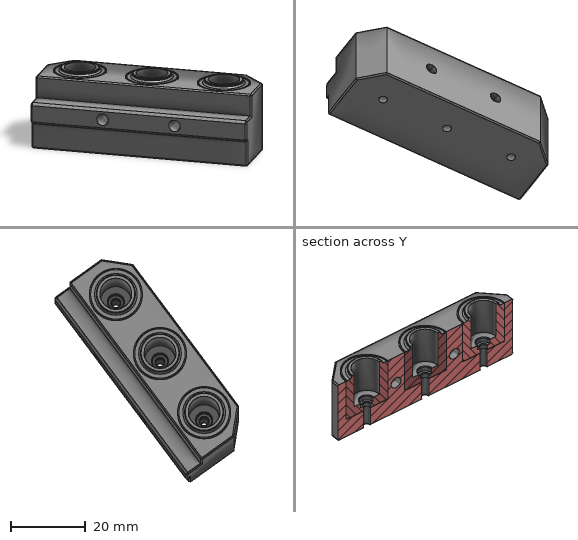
import cadquery as cq

BLOCK_LENGTH = 60.0
BLOCK_HEIGHT = 19.0
BLOCK_DEPTH = 21.7
BACK_Y = 8.5
NOSE_Y = BACK_Y - BLOCK_DEPTH
NOSE_BOTTOM = 7.0
NOSE_TOP = 13.0
LEDGE_DEPTH = 5.0
OVERHANG = 1.0
UPPER_WALL_Y = NOSE_Y + LEDGE_DEPTH
LOWER_WALL_Y = NOSE_Y + OVERHANG
NOSE_CHAMFER = 0.7
EDGE_CHAMFER = 0.39
CORNER_BEVEL = 6.0

CROSS_HOLE_DIAMETER = 3.2
CROSS_HOLE_Z = (NOSE_BOTTOM + NOSE_TOP) / 2

SLEEVE_COUNT = 3
SLEEVE_PITCH = BLOCK_LENGTH / SLEEVE_COUNT
CROSS_HOLE_X = SLEEVE_PITCH / 2
SLEEVE_TOP = 20.0
SLEEVE_DIAMETER = 14.2
SLEEVE_SEAT_Z = 6.0
RIM_CHAMFER = 0.35
COLLAR_DIAMETER = 10.45
COLLAR_FLARE = 0.5
COLLAR_CHAMFER = 0.2
BORE_DIAMETER = 8.45
BORE_FLOOR_Z = 9.0
COUNTERBORE_DIAMETER = 4.1
COUNTERBORE_FLOOR_Z = 7.5
DRAIN_DIAMETER = 2.3
STEP_CHAMFER = 0.25

sleeve_positions = [
    ((i - (SLEEVE_COUNT - 1) / 2) * SLEEVE_PITCH, 0)
    for i in range(SLEEVE_COUNT)
]


def make_blank():
    """Side profile extruded along X, with the nose tip already chamfered."""
    profile = [
        (BACK_Y, 0),
        (BACK_Y, BLOCK_HEIGHT),
        (UPPER_WALL_Y, BLOCK_HEIGHT),
        (UPPER_WALL_Y, NOSE_TOP),
        (NOSE_Y + NOSE_CHAMFER, NOSE_TOP),
        (NOSE_Y, NOSE_TOP - NOSE_CHAMFER),
        (NOSE_Y, NOSE_BOTTOM + NOSE_CHAMFER),
        (NOSE_Y + NOSE_CHAMFER, NOSE_BOTTOM),
        (LOWER_WALL_Y, NOSE_BOTTOM),
        (LOWER_WALL_Y, 0),
    ]
    blank = cq.Workplane("YZ").polyline(profile).close().extrude(BLOCK_LENGTH / 2, both=True)
    return blank.edges("|Z and >Y").chamfer(CORNER_BEVEL)


def chamfer_outer_edges(blank):
    """Break the edges of the top, bottom and end faces, leaving the bevel corners sharp."""
    end_faces = blank.faces("<X or >X")
    sharp = end_faces.edges(">Y").vals()
    face_edges = blank.faces("<X or >X or <Z or >Z").edges().vals()
    broken = [edge for edge in face_edges if not any(edge.isSame(s) for s in sharp)]
    return blank.newObject(broken).chamfer(EDGE_CHAMFER)


def make_block():
    block = chamfer_outer_edges(make_blank())
    seats = (
        cq.Workplane("XY", origin=(0, 0, SLEEVE_SEAT_Z))
        .pushPoints(sleeve_positions)
        .circle(SLEEVE_DIAMETER / 2)
        .extrude(BLOCK_HEIGHT)
    )
    drains = (
        cq.Workplane("XY")
        .pushPoints(sleeve_positions)
        .circle(DRAIN_DIAMETER / 2)
        .extrude(BLOCK_HEIGHT)
    )
    cross_holes = (
        cq.Workplane("XZ", origin=(0, BACK_Y, 0))
        .pushPoints([(-CROSS_HOLE_X, CROSS_HOLE_Z), (CROSS_HOLE_X, CROSS_HOLE_Z)])
        .circle(CROSS_HOLE_DIAMETER / 2)
        .extrude(BLOCK_DEPTH)
    )
    return block.cut(seats).cut(drains).cut(cross_holes)


def make_sleeve(x, y):
    """Cup turned about Z: chamfered rim level with the block, raised collar, stepped bore."""
    sleeve_radius = SLEEVE_DIAMETER / 2
    collar_radius = COLLAR_DIAMETER / 2
    bore_radius = BORE_DIAMETER / 2
    counterbore_radius = COUNTERBORE_DIAMETER / 2
    drain_radius = DRAIN_DIAMETER / 2
    section = [
        (drain_radius, SLEEVE_SEAT_Z),
        (sleeve_radius, SLEEVE_SEAT_Z),
        (sleeve_radius, BLOCK_HEIGHT - RIM_CHAMFER),
        (sleeve_radius - RIM_CHAMFER, BLOCK_HEIGHT),
        (collar_radius + COLLAR_FLARE, BLOCK_HEIGHT),
        (collar_radius, BLOCK_HEIGHT + COLLAR_FLARE),
        (collar_radius, SLEEVE_TOP - COLLAR_CHAMFER),
        (collar_radius - COLLAR_CHAMFER, SLEEVE_TOP),
        (bore_radius, SLEEVE_TOP),
        (bore_radius, BORE_FLOOR_Z),
        (counterbore_radius + STEP_CHAMFER, BORE_FLOOR_Z),
        (counterbore_radius, BORE_FLOOR_Z - STEP_CHAMFER),
        (counterbore_radius, COUNTERBORE_FLOOR_Z),
        (drain_radius + STEP_CHAMFER, COUNTERBORE_FLOOR_Z),
        (drain_radius, COUNTERBORE_FLOOR_Z - STEP_CHAMFER),
    ]
    sleeve = cq.Workplane("XZ").polyline(section).close().revolve(360, (0, 0), (0, 1))
    return sleeve.translate((x, y, 0))


block = make_block()
sleeves = [make_sleeve(x, y) for x, y in sleeve_positions]

result = cq.Compound.makeCompound([block.val(), *[sleeve.val() for sleeve in sleeves]])